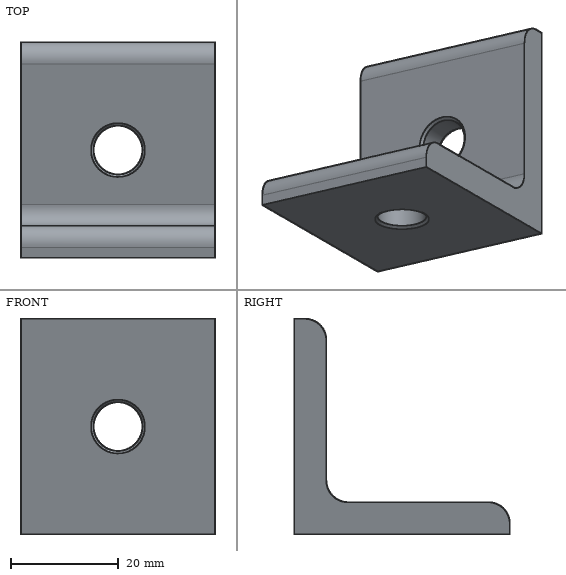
import cadquery as cq

width = 36.0
leg_length = 40.0
thickness = 6.0
edge_radius = 4.0
hole_diameter = 9.0
hole_mouth_diameter = 10.0

hole_position = leg_length / 2
hole_chamfer = (hole_mouth_diameter - hole_diameter) / 2


def angle_bracket():
    """L-section with a filleted root and a rounded inner edge on each leg end."""
    section = (
        cq.Workplane("YZ")
        .moveTo(0, 0)
        .lineTo(leg_length, 0)
        .lineTo(leg_length, thickness - edge_radius)
        .radiusArc((leg_length - edge_radius, thickness), -edge_radius)
        .lineTo(thickness + edge_radius, thickness)
        .radiusArc((thickness, thickness + edge_radius), edge_radius)
        .lineTo(thickness, leg_length - edge_radius)
        .radiusArc((thickness - edge_radius, leg_length), -edge_radius)
        .lineTo(0, leg_length)
        .close()
    )
    return section.extrude(width / 2, both=True)


def hole_cutter():
    """Upright through-hole of one leg, chamfered at both mouths."""
    radius = hole_diameter / 2
    mouth_radius = hole_mouth_diameter / 2
    profile = (
        cq.Workplane("XZ")
        .moveTo(0, 0)
        .lineTo(mouth_radius, 0)
        .lineTo(radius, hole_chamfer)
        .lineTo(radius, thickness - hole_chamfer)
        .lineTo(mouth_radius, thickness)
        .lineTo(0, thickness)
        .close()
    )
    return profile.revolve(360, (0, 0, 0), (0, 1, 0))


base_hole = hole_cutter().translate((0, hole_position, 0))
wall_hole = hole_cutter().rotate((0, 0, 0), (1, 0, 0), -90).translate((0, 0, hole_position))

result = angle_bracket().cut(base_hole).cut(wall_hole)